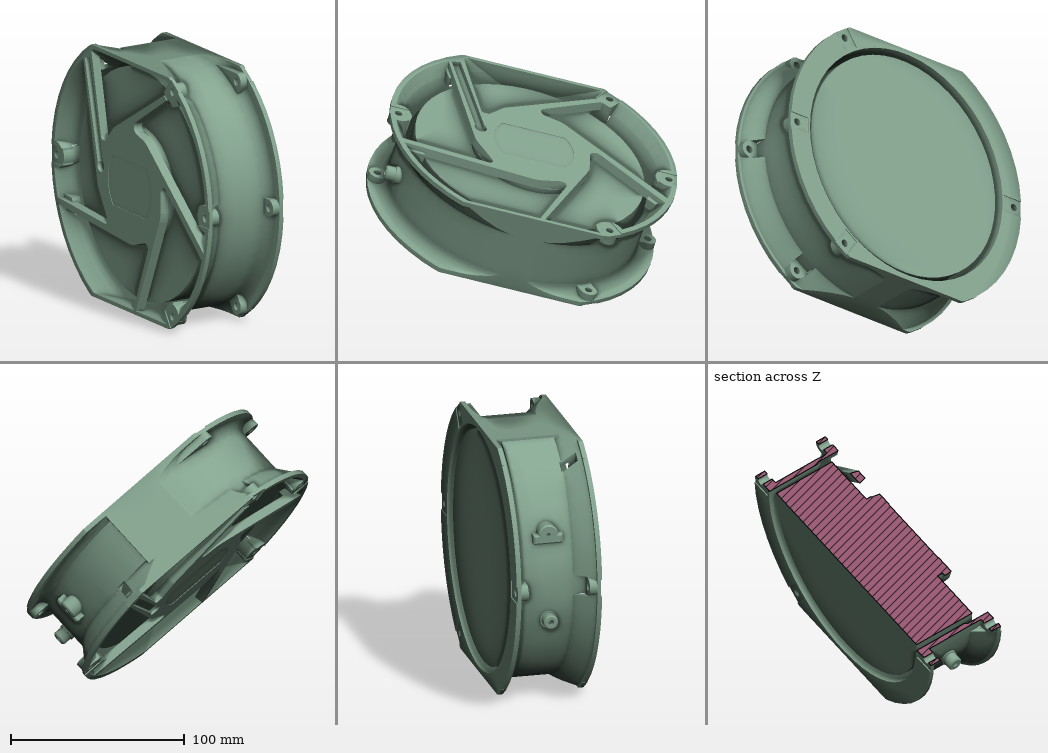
import cadquery as cq
import math

rim_radius = 86.0
flat_half_height = 75.0
front_y = -25.4
back_y = 25.4
rim_thickness = 2.8
rim_back_of_front = front_y + rim_thickness
rim_front_of_back = back_y - rim_thickness

barrel_radius = 75.5
bore_radius = 72.0
flare_start_y = -11.0
flare_end_radius = 84.0
back_blend_radius = 5.4
mouth_radius = 82.8
throat_radius = 77.8
throat_y = -19.0
bore_start_y = -9.0
flat_wall = 2.3

thick_offset = 8.5
thick_front_y = -12.0
thick_back_y = 19.0
thick_low_z = 24.4
block_left_x = -27.4
block_front_y = -14.7

hole_circle_radius = 81.0
hole_diameter = 4.5
corner_angle = 55.8
lower_corner_angle = -corner_angle
flat_angles = (corner_angle, 180 - corner_angle, lower_corner_angle, corner_angle - 180)
round_boss_angles = (0.0, 180.0, lower_corner_angle)
hole_angles = round_boss_angles + (corner_angle,)
boss_radius = 8.0
square_boss_width = 11.5
square_boss_inner = 74.3
pad_width = 10.3
pad_radius = rim_radius - hole_circle_radius
pad_recess = 0.6
cut_clearance = 1.0
pad_depth = 7.2
back_pad_inner = 74.0
screw_relief_width = 11.6
corner_fill_left_x = 20.0

rotor_radius = 68.8
rotor_front_y = -17.0
rotor_back_y = rim_front_of_back
spider_back_y = -20.4
motor_mount_radius = 35.0
spider_radius = 83.0
spider_draft = 10.0
left_window_draft = 4.0
label_radius = 24.0
label_half_height = 15.3
label_depth = 0.3

window_top = (
    (60.0, 76.5, 0),
    (-46.0, 89.0, 0),
    (-31.3, 21.0, 2.2),
    (-26.8, 21.0, 2.2),
    (-18.0, 31.0, 6),
)
window_right = ((84.0, -23.9, 0), (95.0, 95.0, 0), (-1.2, 35.3, 3.7), (17.0, 30.3, 15))
window_lower_right = (
    (3.5, -80.0, 0),
    (88.0, -80.0, 0),
    (88.0, -33.6, 0),
    (33.8, 11.8, 3.7),
    (33.3, -11.3, 15),
)
window_lower_left = (
    (-90.0, -27.9, 0),
    (2.0, -34.5, 15),
    (21.8, -28.0, 3.0),
    (0.5, -81.0, 0),
    (-90.0, -81.0, 0),
)
window_left = (
    (-90.0, -24.1, 0),
    (-90.0, 80.0, 0),
    (-54.5, 80.0, 0),
    (-35.0, -8.0, 15),
    (-22.5, -28.8, 2.5),
)

root_front_y = -22.5
root_length = 18.0
spoke_root_places = (
    (-64.0, -28.0, 176.0, 9.0),
    (61.5, -11.7, -36.0, 8.5),
    (-43.8, 48.7, 103.0, 10.6),
)

channel_floor_y = -22.5
channel_width = 5.6
channel_end = (-31.9, 5.0)
channel_outer = (-46.7, 66.0)
channel_end_radius = 3.7
cable_slot_front_y = -20.5
cable_slot_length = 22.0
cable_slot_overlap = 8.0

fitting_y = 3.5
fitting_root_x = -62.0
clip_face_x = -74.5
clip_z = 31.3
clip_radius = 5.8
clip_base_width = 17.4
clip_base_height = 5.7
clip_bevel = 0.9
clip_hole_diameter = 2.2
clip_hole_depth = 5.0
stud_face_x = -80.9
stud_z = -20.1
stud_radius = 4.3
stud_collar_radius = 5.0
stud_collar_x = -75.0
stud_chamfer = 0.8
stud_hole_diameter = 3.3
stud_hole_depth = 9.0


def slab(y_from, y_to):
    """Workplane facing -Y at y_to, and the length to extrude from there to y_from."""
    return cq.Workplane("XZ", origin=(0, y_to, 0)), y_to - y_from


def disc(radius, y_from, y_to, x=0.0, z=0.0):
    plane, length = slab(y_from, y_to)
    return plane.center(x, z).circle(radius).extrude(length)


def block(x_from, x_to, y_from, y_to, z_from, z_to):
    return cq.Workplane("XY").box(
        x_to - x_from, y_to - y_from, z_to - z_from, centered=False
    ).translate((x_from, y_from, z_from))


def radial_block(angle, r_from, r_to, width, y_from, y_to):
    """Block along a radius, centred on it, at an angle from +X towards +Z."""
    straight = block(r_from, r_to, y_from, y_to, -width / 2, width / 2)
    return straight.rotate((0, 0, 0), (0, 1, 0), -angle)


def at_angle(radius, angle):
    return radius * math.cos(math.radians(angle)), radius * math.sin(math.radians(angle))


def corner_arc(before, corner, after, radius):
    """Start, middle and end of the arc that rounds one corner."""
    ax, ay = before[0] - corner[0], before[1] - corner[1]
    bx, by = after[0] - corner[0], after[1] - corner[1]
    a_len = math.hypot(ax, ay)
    b_len = math.hypot(bx, by)
    ax, ay, bx, by = ax / a_len, ay / a_len, bx / b_len, by / b_len
    half = math.acos(ax * bx + ay * by) / 2
    tangent = radius / math.tan(half)
    to_middle = radius / math.sin(half) - radius
    mx, my = ax + bx, ay + by
    m_len = math.hypot(mx, my)
    start = (corner[0] + ax * tangent, corner[1] + ay * tangent)
    middle = (corner[0] + mx / m_len * to_middle, corner[1] + my / m_len * to_middle)
    end = (corner[0] + bx * tangent, corner[1] + by * tangent)
    return start, middle, end


def rounded_outline(plane, corners):
    """Closed outline through (x, z, radius) corners; a zero radius leaves the corner sharp."""
    points = [corner[:2] for corner in corners]
    outline = plane.moveTo(*points[0])
    for i in range(1, len(corners)):
        radius = corners[i][2]
        if radius:
            after = points[(i + 1) % len(points)]
            start, middle, end = corner_arc(points[i - 1], points[i], after, radius)
            outline = outline.lineTo(*start).threePointArc(middle, end)
        else:
            outline = outline.lineTo(*points[i])
    return outline.close()


def duct_body():
    """Barrel with a rim at each end, flared to the front and blended to the back rim."""
    blend_end_y = rim_front_of_back
    blend_start_y = blend_end_y - back_blend_radius
    blend_end_radius = barrel_radius + back_blend_radius
    blend_mid_radius = blend_end_radius - back_blend_radius * math.cos(math.pi / 4)
    blend_mid_y = blend_start_y + back_blend_radius * math.sin(math.pi / 4)
    body = (
        cq.Workplane("XY")
        .moveTo(0, front_y)
        .lineTo(rim_radius, front_y)
        .lineTo(rim_radius, rim_back_of_front)
        .lineTo(flare_end_radius, rim_back_of_front)
        .lineTo(barrel_radius, flare_start_y)
        .lineTo(barrel_radius, blend_start_y)
        .threePointArc((blend_mid_radius, blend_mid_y), (blend_end_radius, blend_end_y))
        .lineTo(rim_radius, rim_front_of_back)
        .lineTo(rim_radius, back_y)
        .lineTo(0, back_y)
        .close()
        .revolve(360, (0, 0, 0), (0, 1, 0))
    )
    thick_start_angle = 180 - math.degrees(math.asin(thick_low_z / barrel_radius))
    thick_x, thick_z = at_angle(-thick_offset, thick_start_angle)
    thick = disc(barrel_radius + thick_offset, thick_front_y, thick_back_y, thick_x, thick_z)
    thick = thick.intersect(
        block(-rim_radius, block_left_x, thick_front_y, thick_back_y, thick_low_z, flat_half_height)
    )
    flat_block = block(block_left_x, 0, block_front_y, rim_front_of_back, 0, flat_half_height)
    body = body.union(thick).union(flat_block)
    for angle in flat_angles:
        for y_from, y_to in ((front_y, rim_back_of_front), (rim_front_of_back, back_y)):
            body = body.union(radial_block(angle, bore_radius, rim_radius, pad_width, y_from, y_to))
    return body


def trim_to_flats(body):
    return body.intersect(
        block(-rim_radius, rim_radius, front_y, back_y, -flat_half_height, flat_half_height)
    )


def duct_cavity():
    """Straight bore that opens into a flared mouth, kept clear of the flat walls."""
    cavity = (
        cq.Workplane("XY")
        .moveTo(0, front_y)
        .lineTo(mouth_radius, front_y)
        .lineTo(throat_radius, throat_y)
        .lineTo(bore_radius, bore_start_y)
        .lineTo(bore_radius, back_y)
        .lineTo(0, back_y)
        .close()
        .revolve(360, (0, 0, 0), (0, 1, 0))
    )
    inner_half_height = flat_half_height - flat_wall
    return cavity.intersect(
        block(-rim_radius, rim_radius, front_y, back_y, -inner_half_height, inner_half_height)
    )


def pad(angle, y_from, y_to):
    """Pad round one screw hole, with a half-round outer end and straight sides towards the wall."""
    x, z = at_angle(hole_circle_radius, angle)
    straight = radial_block(angle, back_pad_inner, hole_circle_radius, 2 * pad_radius, y_from, y_to)
    return straight.union(disc(pad_radius, y_from, y_to, x, z))


def front_bosses():
    """Thick bosses inside the flare, one of them square."""
    bosses = radial_block(
        corner_angle, square_boss_inner, rim_radius, square_boss_width, front_y, flare_start_y
    )
    for angle in round_boss_angles:
        x, z = at_angle(hole_circle_radius, angle)
        bosses = bosses.union(disc(boss_radius, front_y, flare_start_y, x, z))
    return bosses.cut(disc(bore_radius, front_y, flare_start_y))


def outer_pads():
    """Pads behind both rims and the flat-topped fill beside the upper corner pad at the back."""
    pads = cq.Workplane("XY")
    pad_front_y = back_y - pad_depth
    for angle in hole_angles:
        pads = pads.add(pad(angle, front_y, front_y + pad_depth))
        pads = pads.add(pad(angle, pad_front_y, back_y))
    corner_x, corner_z = at_angle(hole_circle_radius, corner_angle)
    fill = block(
        corner_fill_left_x, corner_x, pad_front_y, rim_front_of_back, 0, corner_z + pad_radius
    )
    return pads.add(fill.cut(disc(bore_radius, pad_front_y, back_y))).combine()


def mounting_cuts():
    """Screw holes, shallow pad recesses in both faces and reliefs behind the front bosses."""
    cuts = cq.Workplane("XY")
    outside = rim_radius + cut_clearance
    recess_inner = hole_circle_radius - boss_radius
    for angle in hole_angles:
        x, z = at_angle(hole_circle_radius, angle)
        cuts = cuts.add(disc(hole_diameter / 2, front_y, back_y, x, z))
        cuts = cuts.add(
            radial_block(angle, recess_inner, outside, pad_width, front_y, front_y + pad_recess)
        )
        cuts = cuts.add(
            radial_block(angle, recess_inner, outside, pad_width, back_y - pad_recess, back_y)
        )
        relief = radial_block(
            angle, bore_radius, outside, screw_relief_width, front_y + pad_depth, flare_start_y
        )
        cuts = cuts.add(relief.cut(disc(barrel_radius, front_y, back_y)))
    return cuts.combine()


def spoke_roots():
    """Wider feet of the left, right and upper left spokes on the flare."""
    roots = cq.Workplane("XY")
    for x, z, direction, width in spoke_root_places:
        foot = block(0, root_length, root_front_y, rotor_front_y, -width / 2, width / 2)
        foot = foot.rotate((0, 0, 0), (0, 1, 0), -direction).translate((x, 0, z))
        roots = roots.add(foot)
    return roots.combine().cut(disc(bore_radius, root_front_y, rotor_front_y))


def spider():
    """Raised centre with five spokes, left standing between the openings, on a round motor mount."""
    plate = disc(spider_radius, front_y, spider_back_y)
    depth = spider_back_y - front_y
    for corners, draft in (
        (window_top, 0),
        (window_right, spider_draft),
        (window_lower_right, spider_draft),
        (window_lower_left, spider_draft),
        (window_left, left_window_draft),
    ):
        plane = cq.Workplane("XZ", origin=(0, front_y, 0))
        plate = plate.cut(rounded_outline(plane, corners).extrude(-depth, taper=draft))
    return plate.union(disc(motor_mount_radius, spider_back_y, rotor_front_y))


def channel_frame(y):
    """Workplane facing -Y at the inner end of the cable channel, its x axis along the channel."""
    along = (channel_outer[0] - channel_end[0], 0, channel_outer[1] - channel_end[1])
    origin = (channel_end[0], y, channel_end[1])
    return cq.Workplane(cq.Plane(origin=origin, xDir=along, normal=(0, -1, 0)))


def cable_channel():
    """Groove along the upper left spoke with a round inner end, and its outlet through the flare."""
    length = math.dist(channel_end, channel_outer)
    depth = channel_floor_y - front_y
    groove = channel_frame(channel_floor_y).center(length / 2, 0).rect(length, channel_width).extrude(depth)
    end = channel_frame(channel_floor_y).circle(channel_end_radius).extrude(depth)
    outlet = (
        channel_frame(flare_start_y)
        .center(length - cable_slot_overlap + cable_slot_length / 2, 0)
        .rect(cable_slot_length, channel_width)
        .extrude(flare_start_y - cable_slot_front_y)
    )
    return groove.union(end).union(outlet)


def label_recess():
    recess = disc(label_radius, front_y, front_y + label_depth)
    return recess.intersect(
        block(
            -label_radius, label_radius, front_y, front_y + label_depth, -label_half_height, label_half_height
        )
    )


def side_plane(x, z):
    """Workplane facing -X through a fitting on the left side, local x towards -Y."""
    return cq.Workplane(cq.Plane(origin=(x, fitting_y, z), xDir=(0, -1, 0), normal=(-1, 0, 0)))


def cable_clip():
    """Half-round boss on a wide foot, with a small screw hole and a bevel round its face."""
    height = fitting_root_x - clip_face_x
    root = side_plane(fitting_root_x, clip_z)
    foot = root.center(0, -clip_base_height / 2).rect(clip_base_width, clip_base_height).extrude(height)
    clip = root.circle(clip_radius).extrude(height)
    clip = clip.intersect(root.center(0, clip_radius / 2).rect(2 * clip_radius, clip_radius).extrude(height))
    return clip.union(foot).clean().faces("<X").chamfer(clip_bevel)


def ground_stud():
    """Round stud with a collar at its foot and a screw hole along its axis."""
    stud = side_plane(fitting_root_x, stud_z).circle(stud_radius).extrude(fitting_root_x - stud_face_x)
    stud = stud.faces("<X").chamfer(stud_chamfer)
    collar = side_plane(fitting_root_x, stud_z).circle(stud_collar_radius)
    return stud.union(collar.extrude(fitting_root_x - stud_collar_x))


def fitting_holes():
    clip_hole = side_plane(clip_face_x, clip_z).circle(clip_hole_diameter / 2).extrude(-clip_hole_depth)
    stud_hole = side_plane(stud_face_x, stud_z).circle(stud_hole_diameter / 2).extrude(-stud_hole_depth)
    return clip_hole.union(stud_hole)


envelope = trim_to_flats(duct_body())
inner_parts = spider().union(spoke_roots()).union(front_bosses()).intersect(envelope)
fittings = cable_clip().union(ground_stud()).cut(disc(bore_radius, front_y, back_y))

result = envelope.cut(duct_cavity()).union(inner_parts).union(trim_to_flats(outer_pads()))
result = result.cut(mounting_cuts()).union(fittings).cut(fitting_holes())
result = result.union(disc(rotor_radius, rotor_front_y, rotor_back_y))
result = result.cut(cable_channel()).cut(label_recess())